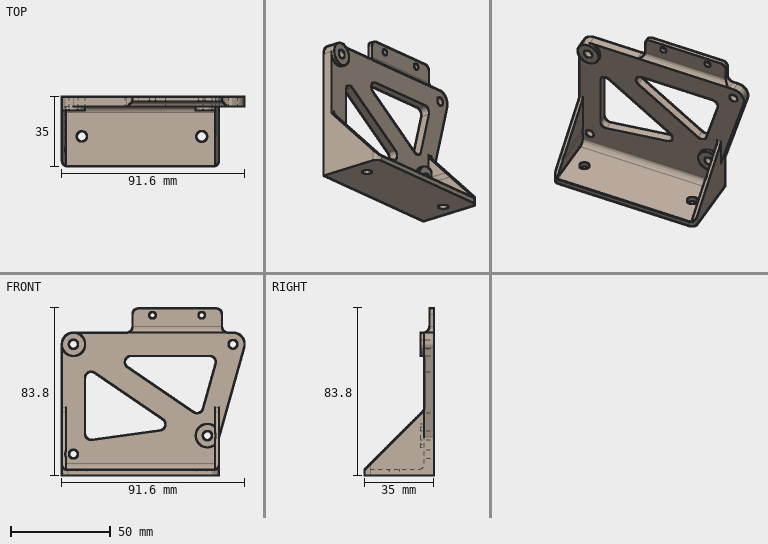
import cadquery as cq
import math

total_width = 91.6
total_height = 83.8
total_depth = 35.0
base_thickness = 3.0
plate_thickness = 5.0
wall_thickness = 2.0
fillet_radius = 3.0
base_corner_radius = 3.0

boss_diameter = 11.7
boss_radius = boss_diameter / 2
boss_face_depth = 7.0
boss_hole_diameter = 4.5
plain_hole_diameter = 4.3
screw_head_clearance = 8.2
plate_top = 71.6
upper_left = (boss_radius, plate_top - boss_radius)
upper_right = (total_width - boss_radius, plate_top - boss_radius)
lower_left = (boss_radius, 10.8)
lower_right = (72.9, 20.1)
base_width = lower_right[0] + boss_radius
bossed_points = [upper_left, lower_right]
plain_points = [upper_right, lower_left]

wall_meeting_height = 32.8

tab_left = 35.35
tab_right = 80.2
tab_thickness = 2.5
tab_corner_radius = 3.0
tab_hole_diameter = 3.2
tab_hole_height = 80.3
tab_hole_xs = [45.4, 70.1]

base_hole_depth = 20.0
base_holes = [(10.1, 5.0), (70.1, 5.3)]


def front_plane(depth=0.0):
    """XZ sketch plane at a given distance in front of the plate back."""
    return cq.Workplane("XZ", origin=(0, -depth, 0))


def make_plate():
    run = upper_right[0] - lower_right[0]
    rise = upper_right[1] - lower_right[1]
    edge_angle = math.atan2(rise, run)
    normal_x = math.sin(edge_angle)
    normal_z = -math.cos(edge_angle)
    tangent_x = upper_right[0] + boss_radius * normal_x
    tangent_z = upper_right[1] + boss_radius * normal_z
    edge_start_z = tangent_z - (tangent_x - base_width) * rise / run
    diagonal = boss_radius * math.sqrt(0.5)
    return (
        front_plane()
        .moveTo(0, 0)
        .lineTo(base_width, 0)
        .lineTo(base_width, edge_start_z)
        .lineTo(tangent_x, tangent_z)
        .threePointArc(
            (upper_right[0] + diagonal, upper_right[1] + diagonal),
            (upper_right[0], plate_top),
        )
        .lineTo(upper_left[0], plate_top)
        .threePointArc(
            (upper_left[0] - diagonal, upper_left[1] + diagonal),
            (0, upper_left[1]),
        )
        .close()
        .extrude(plate_thickness)
    )


def make_window(corners):
    """Triangle set in from lines between hole centres, with rounded corners."""
    return (
        front_plane()
        .polyline(corners)
        .close()
        .offset2D(-boss_radius, "intersection")
        .extrude(plate_thickness)
        .edges("|Y")
        .fillet(fillet_radius)
    )


def make_base_and_walls():
    half_bend = math.pi / 8
    fillet_tangent = fillet_radius * math.tan(half_bend)
    fillet_top = wall_meeting_height + fillet_tangent
    slope_offset = fillet_tangent * math.sqrt(0.5)
    arc_center_depth = plate_thickness + fillet_radius
    front_height = wall_meeting_height - (total_depth - plate_thickness)
    wall_profile = (
        cq.Workplane("YZ")
        .lineTo(-total_depth, 0)
        .lineTo(-total_depth, front_height)
        .lineTo(-plate_thickness - slope_offset, wall_meeting_height - slope_offset)
        .threePointArc(
            (
                -arc_center_depth + fillet_radius * math.cos(half_bend),
                fillet_top - fillet_radius * math.sin(half_bend),
            ),
            (-plate_thickness, fillet_top),
        )
        .lineTo(0, fillet_top)
        .close()
    )
    block = wall_profile.extrude(base_width)
    block = block.edges("|Z and <Y").fillet(base_corner_radius)
    inner_width = base_width - 2 * wall_thickness
    space = (
        cq.Workplane("XY")
        .box(inner_width, total_depth, total_height, centered=False)
        .edges("|X and >Y and <Z")
        .fillet(fillet_radius)
        .translate((wall_thickness, -total_depth - plate_thickness, base_thickness))
    )
    return block.cut(space)


def make_tab():
    """Tab with roots flared sideways and forward into the plate top."""
    root_top = plate_top + fillet_radius
    root_mid = fillet_radius * (1 - math.sqrt(0.5))
    outline = (
        front_plane()
        .moveTo(tab_left - fillet_radius, plate_top)
        .threePointArc((tab_left - root_mid, plate_top + root_mid), (tab_left, root_top))
        .lineTo(tab_left, total_height)
        .lineTo(tab_right, total_height)
        .lineTo(tab_right, root_top)
        .threePointArc(
            (tab_right + root_mid, plate_top + root_mid),
            (tab_right + fillet_radius, plate_top),
        )
        .close()
        .extrude(plate_thickness)
        .edges("|Y and >Z")
        .fillet(tab_corner_radius)
    )
    side_profile = (
        cq.Workplane("YZ")
        .moveTo(0, plate_top)
        .lineTo(-tab_thickness - fillet_radius, plate_top)
        .threePointArc(
            (-tab_thickness - root_mid, plate_top + root_mid),
            (-tab_thickness, root_top),
        )
        .lineTo(-tab_thickness, total_height)
        .lineTo(0, total_height)
        .close()
        .extrude(total_width)
    )
    holes = (
        front_plane()
        .pushPoints([(x, tab_hole_height) for x in tab_hole_xs])
        .circle(tab_hole_diameter / 2)
        .extrude(plate_thickness)
    )
    return outline.intersect(side_profile).cut(holes)


def cylinders(points, diameter, start_depth, end_depth):
    """Cylinders running forward along Y between two depths."""
    return (
        front_plane(start_depth)
        .pushPoints(points)
        .circle(diameter / 2)
        .extrude(end_depth - start_depth)
    )


result = make_plate().union(make_base_and_walls()).union(make_tab())
result = result.cut(make_window([upper_left, lower_left, lower_right]))
result = result.cut(make_window([upper_left, lower_right, upper_right]))

bosses = cylinders(bossed_points, boss_diameter, 0, boss_face_depth)
result = result.union(bosses)
result = result.cut(cylinders([lower_left], screw_head_clearance, plate_thickness, total_depth))
result = result.cut(cylinders([lower_right], screw_head_clearance, boss_face_depth, total_depth))

result = result.cut(cylinders(bossed_points, boss_hole_diameter, 0, boss_face_depth))
result = result.cut(cylinders(plain_points, plain_hole_diameter, 0, plate_thickness))

for hole_x, hole_diameter in base_holes:
    hole = cq.Workplane("XY").center(hole_x, -base_hole_depth).circle(hole_diameter / 2)
    result = result.cut(hole.extrude(base_thickness))